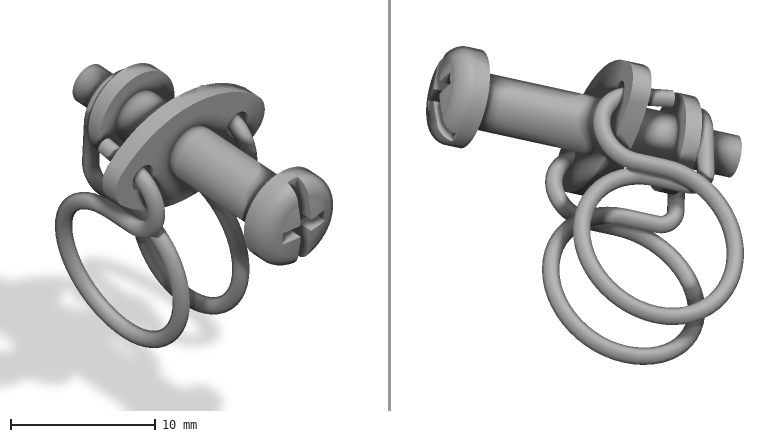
import cadquery as cq
import math


length = 22.25
tip_radius = 1.5
shaft_radius = 2.0
flange_radius = 3.5
collar_start = 3.8
collar_thickness = 1.2
head_start = 19.7
head_rim_width = 1.18
drive_width = 0.98
cap_radius = 9.35
cap_edge_radius = 2.2
rim_bulge = 0.33

plate_start = 9.03
plate_thickness = 1.4
plate_width = 14.0
plate_height = 7.99
plate_end_radius = 2.0
hole_offset = 4.45
hole_radius = 1.0

wire_radius = 0.6
hook_radius = 2.55
hook_center_z = -0.45
leg_splay = 3.0
bend_radius = 1.4
rail_z = -5.0
ring_radius = 5.58
ring_x = 6.96
outer_y = 4.23
return_x = 9.1
return_radius = 2.58
end_x = 6.5
end_tilt = 9.0
return_lean = 2.4


def make_pin():
    """Turned stud with a slotted, cross-recessed head."""
    collar_end = collar_start + collar_thickness
    rim_end = head_start + head_rim_width
    slot_corner_radius = drive_width / math.sqrt(2)
    cap_center = length - math.sqrt(cap_radius**2 - slot_corner_radius**2)
    cap_apex = cap_center + cap_radius
    cap_edge = cap_center + math.sqrt(cap_radius**2 - cap_edge_radius**2)
    cap_mid_radius = cap_edge_radius / 2
    cap_mid = cap_center + math.sqrt(cap_radius**2 - cap_mid_radius**2)
    profile = (
        cq.Workplane("XY")
        .moveTo(0, 0)
        .lineTo(0, tip_radius)
        .lineTo(collar_start, tip_radius)
        .lineTo(collar_start, flange_radius)
        .lineTo(collar_end, flange_radius)
        .lineTo(collar_end, shaft_radius)
        .lineTo(head_start, shaft_radius)
        .lineTo(head_start, flange_radius)
        .lineTo(rim_end, flange_radius)
        .sagittaArc((cap_edge, cap_edge_radius), rim_bulge)
        .threePointArc((cap_mid, cap_mid_radius), (cap_apex, 0))
        .close()
    )
    pin = profile.revolve(360, (0, 0, 0), (1, 0, 0))
    face = cq.Workplane("YZ", origin=(rim_end, 0, 0))
    through_slot = face.rect(drive_width, 2 * flange_radius).extrude(length - head_start)
    cross_slot = face.rect(2 * shaft_radius, drive_width).extrude(length - head_start)
    return pin.cut(through_slot).cut(cross_slot)


def make_plate():
    """Oval plate with a bore for the shaft and two holes for the wire ends."""
    half_width = plate_width / 2
    half_height = plate_height / 2
    end_y = half_width - plate_end_radius
    side_radius = (end_y**2 + half_height**2 - plate_end_radius**2) / (2 * (half_height - plate_end_radius))
    side_center = side_radius - half_height
    center_distance = side_radius - plate_end_radius
    tangent_y = side_radius * end_y / center_distance
    tangent_z = plate_end_radius * side_center / center_distance
    plate = (
        cq.Workplane("YZ", origin=(plate_start, 0, 0))
        .moveTo(-tangent_y, tangent_z)
        .threePointArc((0, half_height), (tangent_y, tangent_z))
        .threePointArc((half_width, 0), (tangent_y, -tangent_z))
        .threePointArc((0, -half_height), (-tangent_y, -tangent_z))
        .threePointArc((-half_width, 0), (-tangent_y, tangent_z))
        .close()
        .extrude(plate_thickness)
    )
    face = cq.Workplane("YZ", origin=(plate_start, 0, 0))
    bore = face.circle(shaft_radius).extrude(plate_thickness)
    wire_holes = (
        face.pushPoints([(-hole_offset, 0), (hole_offset, 0)])
        .circle(hole_radius)
        .extrude(plate_thickness)
    )
    return plate.cut(bore).cut(wire_holes)


def half_clip_path():
    """Centreline of the +Y half of the clip, from the top of the hook to the wire end."""
    hook_x = collar_start - wire_radius
    splay = math.radians(leg_splay)
    tilt = math.radians(end_tilt)

    def hook_point(angle):
        return cq.Vector(
            hook_x,
            hook_radius * math.cos(angle),
            hook_center_z + hook_radius * math.sin(angle),
        )

    hook_top = hook_point(math.pi / 2)
    hook_mid = hook_point(math.pi / 4)
    hook_end = hook_point(splay)

    inner_y = hook_end.y + (hook_end.z - rail_z) * math.tan(splay)

    def bend_point(run, rise):
        return cq.Vector(hook_x + run, inner_y - rise * math.sin(splay), rail_z + rise * math.cos(splay))

    bend_offset = bend_radius * (1 - math.sqrt(0.5))
    bend_start = bend_point(0, bend_radius)
    bend_mid = bend_point(bend_offset, bend_offset)
    bend_end = bend_point(bend_radius, 0)

    ring_z = rail_z - ring_radius
    ring_start = cq.Vector(ring_x, inner_y, rail_z)
    ring_front = cq.Vector(ring_x + ring_radius, inner_y, ring_z)
    ring_bottom = cq.Vector(ring_x, inner_y, rail_z - 2 * ring_radius)
    leaning_radius = math.hypot(ring_radius, (outer_y - inner_y) / 2)
    ring_back = cq.Vector(ring_x - leaning_radius, (inner_y + outer_y) / 2, ring_z)
    ring_end = cq.Vector(ring_x, outer_y, rail_z)

    lean = math.radians(return_lean)

    def return_point(x, rise):
        return cq.Vector(x, outer_y + rise * math.sin(lean), rail_z + rise * math.cos(lean))

    arc_end_x = return_x + return_radius * math.sin(tilt)
    arc_end_rise = return_radius * (1 + math.cos(tilt))
    wire_end_rise = arc_end_rise + (arc_end_x - end_x) * math.tan(tilt)
    return_start = return_point(return_x, 0)
    return_mid = return_point(return_x + return_radius, return_radius)
    return_end = return_point(arc_end_x, arc_end_rise)
    wire_end = return_point(end_x, wire_end_rise)

    line = cq.Edge.makeLine
    arc = cq.Edge.makeThreePointArc
    edges = [
        arc(hook_top, hook_mid, hook_end),
        line(hook_end, bend_start),
        arc(bend_start, bend_mid, bend_end),
        line(bend_end, ring_start),
        arc(ring_start, ring_front, ring_bottom),
        arc(ring_bottom, ring_back, ring_end),
        line(ring_end, return_start),
        arc(return_start, return_mid, return_end),
        line(return_end, wire_end),
    ]
    return cq.Wire.assembleEdges(edges)


def make_clip():
    """Round wire bent symmetrically about the XZ plane."""
    path = half_clip_path()
    section = cq.Workplane("XZ", origin=path.startPoint().toTuple()).circle(wire_radius)
    half = section.sweep(cq.Workplane(path))
    return half.union(half.mirror("XZ"))


pin = make_pin()
plate = make_plate()
clip = make_clip()

result = cq.Compound.makeCompound([pin.val(), plate.val(), clip.val()])